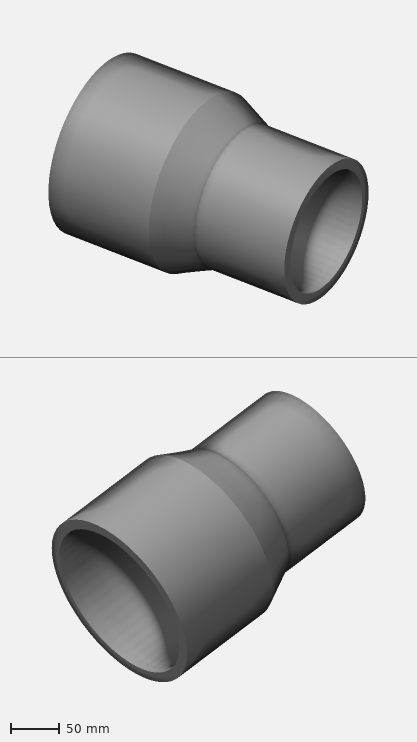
import cadquery as cq

total_length = 278.0
outer_taper_start = 124.0
taper_length = 44.0

bore_taper_lead = 2.5
bore_taper_start = outer_taper_start - bore_taper_lead

wide_outer_diameter = 200.0
wide_bore_diameter = 176.3
narrow_outer_diameter = 160.0
narrow_bore_diameter = 136.2


def stepped_body(wide_diameter, narrow_diameter, taper_start):
    """Solid of revolution about X: wide cylinder, cone, narrow cylinder."""
    wide_radius = wide_diameter / 2
    narrow_radius = narrow_diameter / 2
    profile = [
        (0, 0),
        (0, wide_radius),
        (taper_start, wide_radius),
        (taper_start + taper_length, narrow_radius),
        (total_length, narrow_radius),
        (total_length, 0),
    ]
    return cq.Workplane("XY").polyline(profile).close().revolve(360, (0, 0, 0), (1, 0, 0))


outer_body = stepped_body(wide_outer_diameter, narrow_outer_diameter, outer_taper_start)
bore = stepped_body(wide_bore_diameter, narrow_bore_diameter, bore_taper_start)

result = outer_body.cut(bore)